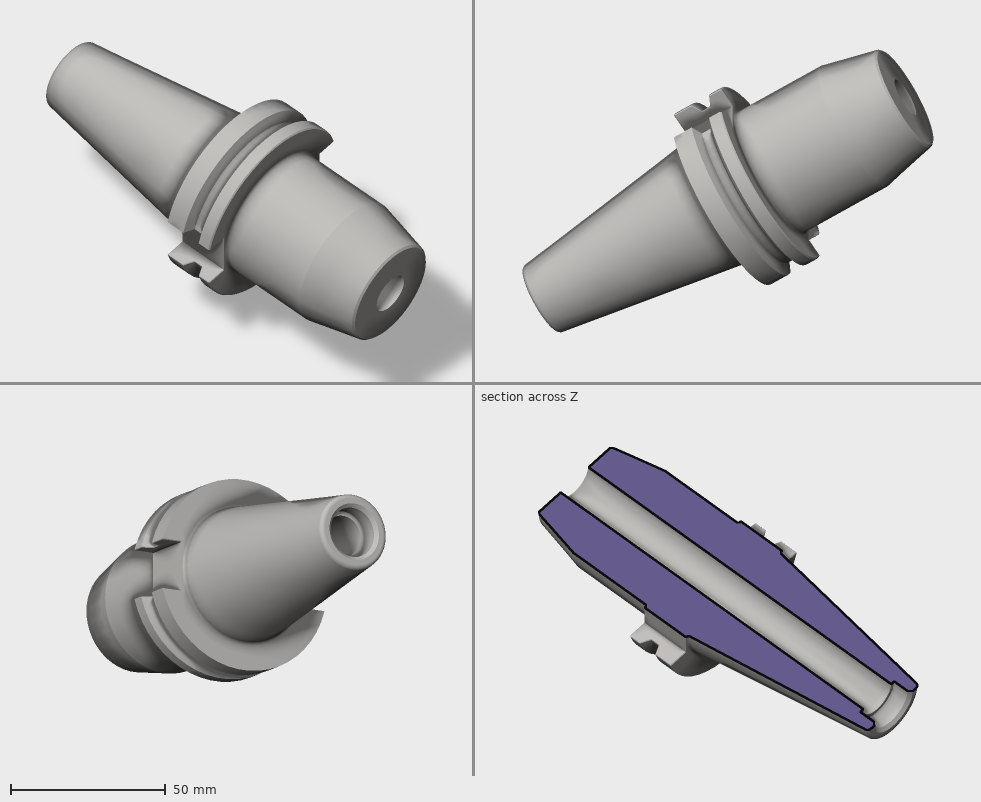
import cadquery as cq
import math

length = 138.2
taper_length = 68.1
flange_start = 69.1
flange_end = 87.0
nose_start = 118.7

body_radius = 44.5 / 2
taper_ratio = 7 / 24
tail_radius = body_radius - taper_length * taper_ratio / 2
tail_rounding = 1.5

flange_radius = 63.3 / 2
flange_chamfer = 0.4
groove_start = 75.9
groove_end = 82.5
groove_floor_radius = 28.2
groove_side_angle = 27
groove_side_run = (flange_radius - groove_floor_radius) * math.tan(math.radians(groove_side_angle))
front_fillet = flange_start - taper_length
rear_fillet = 0.8

slot_width = 16.2
slot_edge_chamfer = 0.3
selection_margin = 0.1
slot_floor = 23.4

nose_radius = 18.0
nose_chamfer = 0.7

through_radius = 13.4 / 2
counterbore_radius = 16.3 / 2
counterbore_depth = 7.0
mouth_radius = 18.7 / 2
mouth_depth = mouth_radius - counterbore_radius


def concave_middle(center_x, center_r, radius, side):
    """Middle point of a concave quarter arc; side is the X direction of the flange."""
    offset = radius * math.sqrt(0.5)
    return center_x + side * offset, center_r - offset


def turned_body():
    front_center = (taper_length, body_radius + front_fillet)
    rear_center = (flange_end + rear_fillet, body_radius + rear_fillet)
    profile = (
        cq.Workplane("XY")
        .lineTo(0, tail_radius)
        .lineTo(taper_length, body_radius)
        .threePointArc(concave_middle(*front_center, front_fillet, 1), (flange_start, front_center[1]))
        .lineTo(flange_start, flange_radius)
        .lineTo(groove_start, flange_radius)
        .lineTo(groove_start + groove_side_run, groove_floor_radius)
        .lineTo(groove_end - groove_side_run, groove_floor_radius)
        .lineTo(groove_end, flange_radius)
        .lineTo(flange_end - flange_chamfer, flange_radius)
        .lineTo(flange_end, flange_radius - flange_chamfer)
        .lineTo(flange_end, rear_center[1])
        .threePointArc(concave_middle(*rear_center, rear_fillet, -1), (rear_center[0], body_radius))
        .lineTo(nose_start, body_radius)
        .lineTo(length - nose_chamfer, nose_radius)
        .lineTo(length, nose_radius - nose_chamfer)
        .lineTo(length, 0)
        .close()
    )
    body = profile.revolve(360, (0, 0, 0), (1, 0, 0))
    return body.faces("<X").edges().fillet(tail_rounding)


def drive_slot(side):
    slot_depth = flange_radius - slot_floor
    slot_length = nose_start - taper_length
    return (
        cq.Workplane("XY")
        .box(slot_length, slot_depth, slot_width, centered=(False, True, True))
        .translate((taper_length, side * (slot_floor + slot_depth / 2), 0))
    )


def stepped_bore():
    return (
        cq.Workplane("XY")
        .lineTo(0, mouth_radius)
        .lineTo(mouth_depth, counterbore_radius)
        .lineTo(counterbore_depth, counterbore_radius)
        .lineTo(counterbore_depth, through_radius)
        .lineTo(length, through_radius)
        .lineTo(length, 0)
        .close()
        .revolve(360, (0, 0, 0), (1, 0, 0))
    )


def break_slot_edges(part, side):
    """Chamfer the outer edges of one slot's walls, leaving its floor corners sharp."""
    half_height = slot_width / 2 + selection_margin
    outer_edges = cq.selectors.BoxSelector(
        (flange_start - selection_margin, side * (slot_floor + selection_margin), -half_height),
        (flange_end + selection_margin, side * flange_radius, half_height),
    )
    return part.edges(outer_edges).chamfer(slot_edge_chamfer)


result = turned_body().cut(stepped_bore())
for side in (-1, 1):
    result = result.cut(drive_slot(side))
    result = break_slot_edges(result, side)